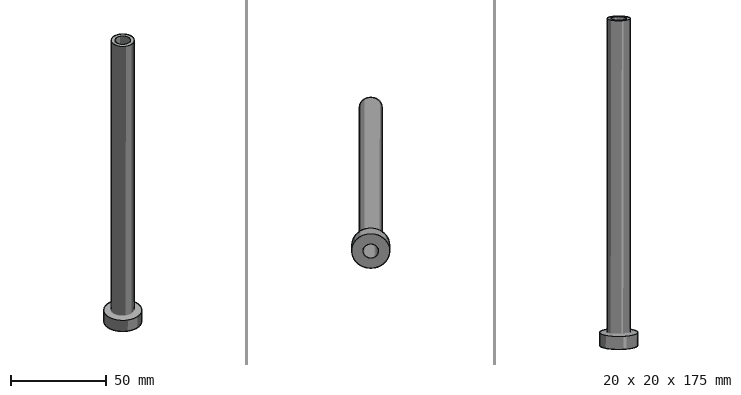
import cadquery as cq

total_length = 175.0
head_diameter = 20.0
head_height = 7.0
tube_diameter = 12.0
bore_diameter = 8.0
neck_fillet = 0.5

head = cq.Workplane("XY").circle(head_diameter / 2).extrude(head_height)

tube_length = total_length - head_height
body = head.faces(">Z").workplane().circle(tube_diameter / 2).extrude(tube_length)

neck_edge = cq.selectors.RadiusNthSelector(0)
body = body.faces("<Z[-2]").edges(neck_edge).fillet(neck_fillet)

bore = cq.Workplane("XY").circle(bore_diameter / 2).extrude(total_length)
result = body.cut(bore)